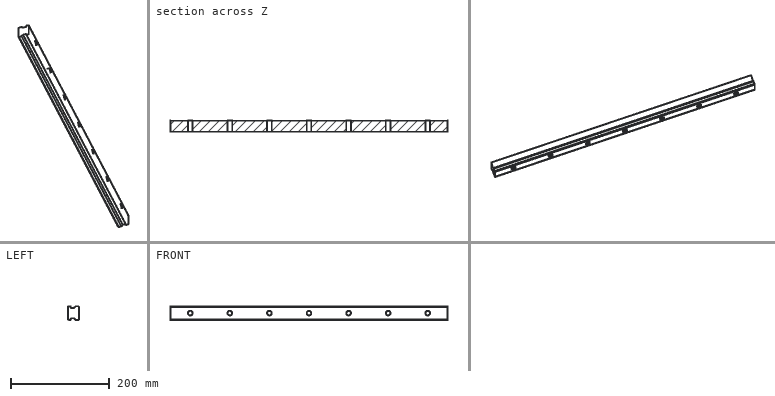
import cadquery as cq

length = 560.0
width = 23.0
height = 28.0

groove_depth = 3.5
groove_back = 5.5
groove_front = -1.0
slope_width = groove_depth
groove_fillet = 1.5

back_radius = 3.0
lip_radius = 1.0
front_chamfer = 1.5

hole_count = 7
hole_diameter = 9.0
hole_pitch = length / hole_count


def rail_body():
    """Full rectangular bar with rounded back edges and chamfered front edges."""
    bar = cq.Workplane("XY").box(length, width, height)
    bar = bar.edges("|X and >Y").fillet(back_radius)
    return bar.edges("|X and <Y").chamfer(front_chamfer)


def groove_cutter():
    """Top groove with a straight back wall and a sloping front wall."""
    top = height / 2
    floor = top - groove_depth
    profile = [
        (groove_back, top),
        (groove_back, floor),
        (groove_front, floor),
        (groove_front - slope_width, top),
    ]
    cutter = cq.Workplane("YZ").polyline(profile).close().extrude(length / 2, both=True)
    return cutter.edges("|X and >Y and <Z").fillet(groove_fillet)


def round_lips(rail):
    """Round the upper edge of each groove's straight back wall."""
    for side in (1, -1):
        lip = cq.selectors.NearestToPointSelector((0, groove_back, side * height / 2))
        rail = rail.edges(lip).fillet(lip_radius)
    return rail


def mounting_holes():
    """Evenly spaced cylinders running through the rail along Y."""
    return (
        cq.Workplane("XZ")
        .rarray(hole_pitch, 5.5, hole_count, 1)
        .circle(hole_diameter / 2)
        .extrude(width, both=True)
    )


groove = groove_cutter()
rail = rail_body().cut(groove).cut(groove.mirror("XY"))
result = round_lips(rail).cut(mounting_holes())